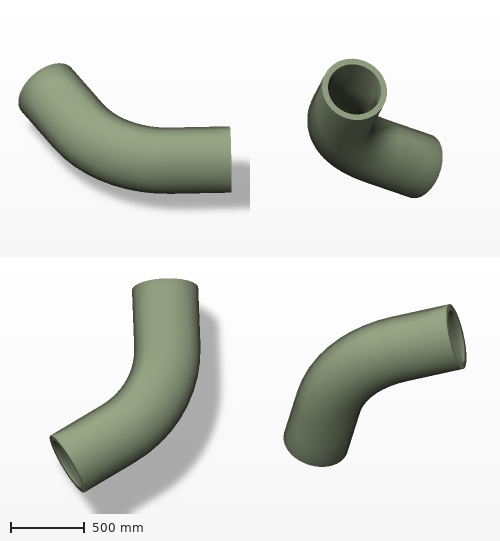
import cadquery as cq
import math

overall_length = 1425.0
outer_diameter = 450.0
inner_diameter = 368.0
bend_radius = 708.0
bend_angle = 60.0

outer_radius = outer_diameter / 2
inner_radius = inner_diameter / 2
sin_bend = math.sin(math.radians(bend_angle))
cos_bend = math.cos(math.radians(bend_angle))

straight_length = (overall_length - (bend_radius + outer_radius) * sin_bend) / (1 + cos_bend)


def ring(plane):
    """Pipe cross-section sketched on the given plane."""
    return cq.Workplane(plane).circle(outer_radius).circle(inner_radius)


inlet_plane = cq.Plane(origin=(0, 0, 0), xDir=(0, 1, 0), normal=(1, 0, 0))
bend_start_plane = cq.Plane(origin=(straight_length, 0, 0), xDir=(0, 1, 0), normal=(1, 0, 0))
bend_end_plane = cq.Plane(
    origin=(straight_length + bend_radius * sin_bend, bend_radius * (1 - cos_bend), 0),
    xDir=(-sin_bend, cos_bend, 0),
    normal=(cos_bend, sin_bend, 0),
)

inlet = ring(inlet_plane).extrude(straight_length)

bend = ring(bend_start_plane).revolve(bend_angle, (bend_radius, 0, 0), (bend_radius, 1, 0))
outlet = ring(bend_end_plane).extrude(straight_length)

result = inlet.union(bend).union(outlet)